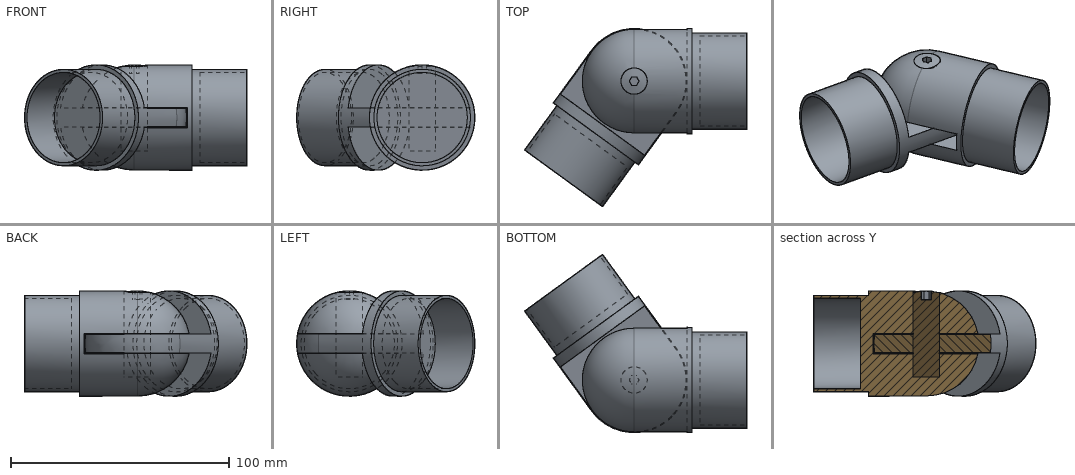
import cadquery as cq
import math

body_radius = 24.1
collar_end = 26.5
arm_collar_end = 29.8
spigot_length = 25.2
spigot_radius = 22.1
bore_radius = 20.7
bore_depth = 21.4

arm_angle = 234.0
slot_height = 9.2
slot_end = 24.2
tongue_height = 8.6
tongue_end = 24.6

pin_radius = 6.0
pin_bottom = -15.3
socket_circumradius = 2.2
socket_depth = 4.1


def tube_with_round_end(shoulder):
    """Tube along +X: ball end at the origin, straight body, then a bored spigot."""
    tube_end = shoulder + spigot_length
    bore_floor = tube_end - bore_depth
    return (
        cq.Workplane("XY")
        .moveTo(-body_radius, 0)
        .threePointArc(
            (-body_radius * math.sqrt(0.5), body_radius * math.sqrt(0.5)),
            (0, body_radius),
        )
        .lineTo(shoulder, body_radius)
        .lineTo(shoulder, spigot_radius)
        .lineTo(tube_end, spigot_radius)
        .lineTo(tube_end, bore_radius)
        .lineTo(bore_floor, bore_radius)
        .lineTo(bore_floor, 0)
        .close()
        .revolve(360, (0, 0, 0), (1, 0, 0))
    )


def hinge_block(end, bottom, top):
    """Block around the rounded end, up to x = end, between two heights."""
    overhang = 2 * body_radius
    return (
        cq.Workplane("XY")
        .box(end + overhang, 2 * overhang, top - bottom, centered=(False, True, False))
        .translate((-overhang, 0, bottom))
    )


def pin_cylinder():
    return (
        cq.Workplane("XY")
        .workplane(offset=pin_bottom)
        .circle(pin_radius)
        .extrude(body_radius - pin_bottom)
    )


def make_housing():
    slot = hinge_block(slot_end, -slot_height / 2, slot_height / 2)
    return tube_with_round_end(collar_end).cut(slot).cut(pin_cylinder())


def make_arm():
    half_tongue = tongue_height / 2
    above_tongue = hinge_block(tongue_end, half_tongue, body_radius)
    below_tongue = hinge_block(tongue_end, -body_radius, -half_tongue)
    arm = tube_with_round_end(arm_collar_end).cut(above_tongue).cut(below_tongue)
    return arm.rotate((0, 0, 0), (0, 0, 1), arm_angle).cut(pin_cylinder())


def make_pin():
    """Pin with a top domed like the hinge ball and a hexagon socket."""
    socket = (
        cq.Workplane("XY")
        .workplane(offset=body_radius - socket_depth)
        .polygon(6, 2 * socket_circumradius)
        .extrude(socket_depth)
    )
    dome = cq.Workplane("XY").sphere(body_radius)
    return pin_cylinder().intersect(dome).cut(socket)


housing = make_housing()
arm = make_arm()
pin = make_pin()

result = cq.Compound.makeCompound([housing.val(), arm.val(), pin.val()])